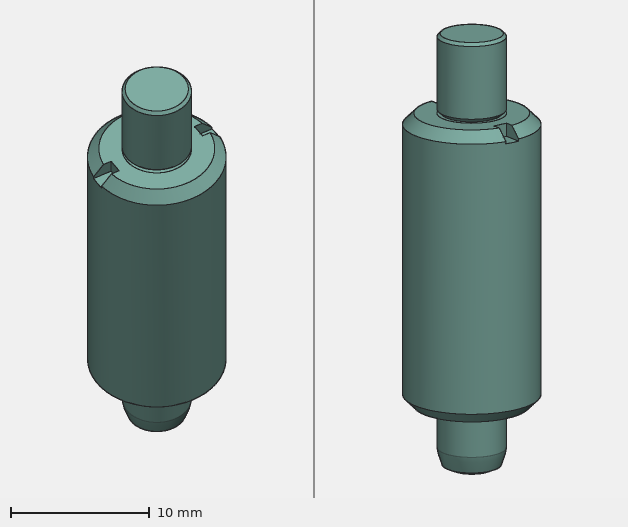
import cadquery as cq
import math

total_height = 33.0
housing_bottom = 5.0
housing_top = 27.0

housing_radius = 5.0
housing_chamfer = 0.82
slot_width = 1.12
slot_depth = 1.0
slot_inner_radius = 3.5

pin_radius = 2.5
neck_radius = 2.18
top_chamfer = 0.23
undercut_height = 0.3
nose_height = 1.85
dome_height = 0.55
dome_radius = 2.15
nose_bulge = 0.05


def make_housing():
    """Chamfered sleeve with a through bore and two slots in its top rim."""
    height = housing_top - housing_bottom
    sleeve = (
        cq.Workplane("XY")
        .workplane(offset=housing_bottom)
        .circle(housing_radius)
        .extrude(height)
        .faces("<Z or >Z")
        .chamfer(housing_chamfer)
        .faces(">Z")
        .workplane()
        .hole(2 * pin_radius)
    )
    slot_length = housing_radius - slot_inner_radius
    slot_center = slot_inner_radius + slot_length / 2
    slots = (
        cq.Workplane("XY")
        .workplane(offset=housing_top - slot_depth)
        .pushPoints([(0, -slot_center), (0, slot_center)])
        .rect(slot_width, slot_length)
        .extrude(slot_depth)
    )
    return sleeve.cut(slots)


def make_pin():
    """Pin through the housing: domed nose below, chamfered shank above."""
    shank_bottom = housing_top + undercut_height
    flank_middle = ((pin_radius + dome_radius) / 2 + nose_bulge, (nose_height + dome_height) / 2)
    sphere_radius = (dome_radius**2 + dome_height**2) / (2 * dome_height)
    dome_middle_radius = dome_radius / 2
    dome_middle_height = sphere_radius - math.sqrt(sphere_radius**2 - dome_middle_radius**2)
    return (
        cq.Workplane("XZ")
        .moveTo(0, 0)
        .threePointArc((dome_middle_radius, dome_middle_height), (dome_radius, dome_height))
        .threePointArc(flank_middle, (pin_radius, nose_height))
        .lineTo(pin_radius, housing_top)
        .lineTo(neck_radius, housing_top)
        .lineTo(pin_radius, shank_bottom)
        .lineTo(pin_radius, total_height - top_chamfer)
        .lineTo(pin_radius - top_chamfer, total_height)
        .lineTo(0, total_height)
        .close()
        .revolve(360, (0, 0), (0, 1))
    )


housing = make_housing()
pin = make_pin()

result = cq.Compound.makeCompound([housing.val(), pin.val()])